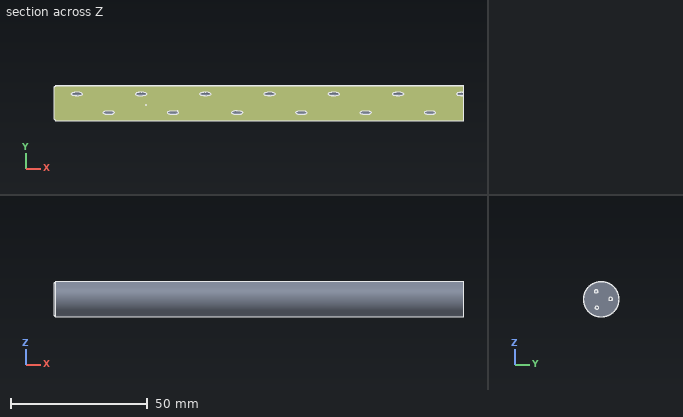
import cadquery as cq
import math

length = 150.0
diameter = 13.0
chamfer = 0.7

hole_count = 3
hole_diameter = 1.23
hole_circle_radius = 3.5
first_hole_angle = 13.0
helix_pitch = 70.5
twist_angle = 360.0 * length / helix_pitch


def hole_position(index):
    """Return the (Y, Z) centre of one of the evenly spaced holes."""
    angle = math.radians(first_hole_angle + index * 360.0 / hole_count)
    return hole_circle_radius * math.sin(angle), hole_circle_radius * math.cos(angle)


start_plane = cq.Workplane("YZ", origin=(-length / 2, 0, 0))
rod = start_plane.circle(diameter / 2).extrude(length).faces("<X").chamfer(chamfer)

holes = (
    start_plane.pushPoints([hole_position(index) for index in range(hole_count)])
    .circle(hole_diameter / 2)
    .twistExtrude(length, twist_angle)
)

result = rod.cut(holes)